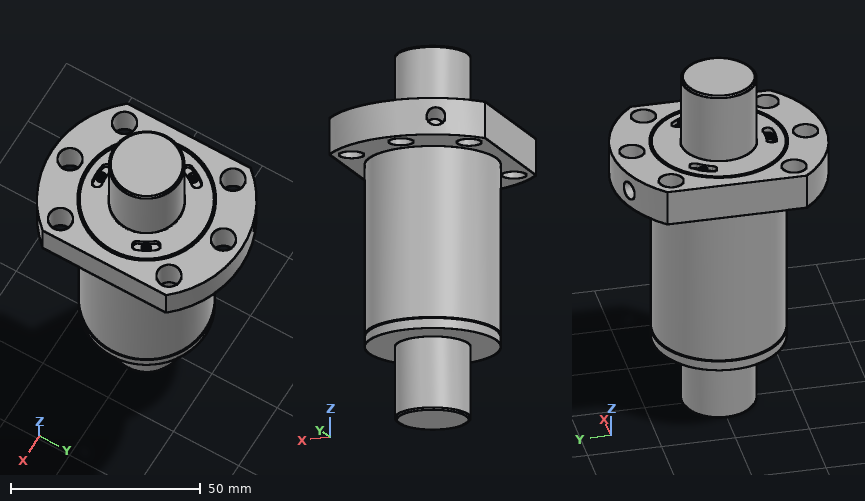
import cadquery as cq
import math

shaft_length = 100.0
shaft_overhang = 20.0
flange_thickness = 10.0
body_bottom = shaft_overhang
flange_top = shaft_length - shaft_overhang
flange_bottom = flange_top - flange_thickness

shaft_diameter = 20.0
shaft_chamfer = 0.5
body_diameter = 36.0

flange_diameter = 58.0
flange_width = 44.0
bolt_circle_diameter = 47.0
bolt_hole_diameter = 6.6
bolt_angles = [45, 90, 135, 225, 270, 315]

oil_port_diameter = 4.9
oil_port_angle = (90 + 135) / 2

end_ring_height = 2.9
body_groove_width = 0.3
face_groove_diameter = body_diameter
face_groove_width = 0.6

clearance_diameter = 20.2
clearance_depth = 0.5

slot_angles = [30, 150, 270]
slot_circle_radius = 14.0
slot_length = 7.5
slot_width = 2.7
slot_depth = 1.5
pin_diameter = 2.4
pin_height = 1.0
recess_length = 1.8
recess_width = 0.4
recess_depth = 0.4
recess_angle = 20


def ring(outer_diameter, inner_diameter, bottom, height):
    """Flat ring around the shaft axis."""
    return (
        cq.Workplane("XY", origin=(0, 0, bottom))
        .circle(outer_diameter / 2)
        .circle(inner_diameter / 2)
        .extrude(height)
    )


def revolved(profile):
    """Closed outline of (radius, height) points swept around the shaft axis."""
    return cq.Workplane("XZ").polyline(profile).close().revolve(360, (0, 0, 0), (0, 1, 0))


def body_groove():
    """V-groove with 45 degree sides around the body, above the end ring."""
    radius = body_diameter / 2
    half_width = body_groove_width / 2
    mid_height = body_bottom + end_ring_height
    return revolved([
        (radius, mid_height - half_width),
        (radius, mid_height + half_width),
        (radius - half_width, mid_height),
    ])


def face_groove():
    """V-groove with 45 degree sides in the flange face, centred on the body diameter."""
    middle = face_groove_diameter / 2
    half_width = face_groove_width / 2
    return revolved([
        (middle - half_width, flange_top),
        (middle, flange_top - half_width),
        (middle + half_width, flange_top),
    ])


def make_shaft():
    shaft = cq.Workplane("XY").circle(shaft_diameter / 2).extrude(shaft_length)
    return shaft.faces("<Z or >Z").chamfer(shaft_chamfer)


def make_body():
    body = cq.Workplane("XY", origin=(0, 0, body_bottom)).circle(body_diameter / 2)
    body = body.extrude(flange_bottom - body_bottom)
    return body.cut(body_groove())


def bolt_holes():
    radius = bolt_circle_diameter / 2
    centres = [
        (radius * math.cos(math.radians(angle)), radius * math.sin(math.radians(angle)))
        for angle in bolt_angles
    ]
    plane = cq.Workplane("XY", origin=(0, 0, flange_bottom))
    return plane.pushPoints(centres).circle(bolt_hole_diameter / 2).extrude(flange_thickness)


def oil_port():
    """Radial blind hole from the flange rim to the body diameter."""
    mid_height = (flange_bottom + flange_top) / 2
    plane = cq.Workplane("YZ", origin=(body_diameter / 2, 0, mid_height))
    hole = plane.circle(oil_port_diameter / 2).extrude((flange_diameter - body_diameter) / 2)
    return hole.rotate((0, 0, 0), (0, 0, 1), oil_port_angle)


def make_pin():
    """Pin with a cross recess, standing on the floor of the slot on the X axis."""
    floor_height = flange_top - slot_depth
    centre = (slot_circle_radius, 0)
    pin = cq.Workplane("XY", origin=(*centre, floor_height)).circle(pin_diameter / 2).extrude(pin_height)
    recess_floor = cq.Workplane("XY", origin=(*centre, floor_height + pin_height - recess_depth))
    for arm_angle in (recess_angle, recess_angle + 90):
        arm = recess_floor.transformed(rotate=(0, 0, arm_angle)).rect(recess_length, recess_width)
        pin = pin.cut(arm.extrude(recess_depth))
    return pin


def slot_cutter(angle):
    """Round-ended slot along a circle about the shaft axis, leaving its pin standing."""
    half_angle = math.asin((slot_length - slot_width) / 2 / slot_circle_radius)
    inner_radius = slot_circle_radius - slot_width / 2
    outer_radius = slot_circle_radius + slot_width / 2

    def slot_end(radius, side):
        return (radius * math.cos(half_angle), side * radius * math.sin(half_angle))

    def slot_tip(side):
        x, y = slot_end(slot_circle_radius, side)
        end_radius = slot_width / 2
        return (x - end_radius * math.sin(half_angle), y + side * end_radius * math.cos(half_angle))

    slot = (
        cq.Workplane("XY", origin=(0, 0, flange_top - slot_depth))
        .moveTo(*slot_end(outer_radius, -1))
        .threePointArc((outer_radius, 0), slot_end(outer_radius, 1))
        .threePointArc(slot_tip(1), slot_end(inner_radius, 1))
        .threePointArc((inner_radius, 0), slot_end(inner_radius, -1))
        .threePointArc(slot_tip(-1), slot_end(outer_radius, -1))
        .close()
        .extrude(slot_depth)
    )
    return slot.cut(make_pin()).rotate((0, 0, 0), (0, 0, 1), angle)


def make_flange():
    plane = cq.Workplane("XY", origin=(0, 0, flange_bottom))
    disc = plane.circle(flange_diameter / 2).extrude(flange_thickness)
    flats = plane.rect(flange_width, flange_diameter).extrude(flange_thickness)
    flange = disc.intersect(flats).cut(bolt_holes()).cut(oil_port())
    flange = flange.cut(face_groove())
    for angle in slot_angles:
        flange = flange.cut(slot_cutter(angle))
    return flange


def shaft_clearance():
    return ring(clearance_diameter, shaft_diameter, flange_top - clearance_depth, clearance_depth)


nut = make_body().union(make_flange()).cut(shaft_clearance())
result = nut.union(make_shaft())